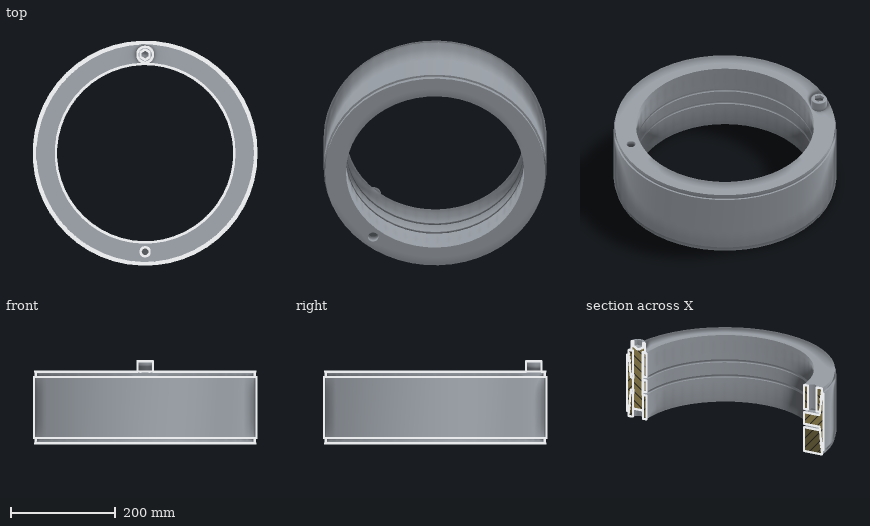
import cadquery as cq
import math

bore_diameter = 340.0
sleeve_diameter = 425.0
thrust_ring_diameter = 420.0
thrust_ring_height = 50.0
exposed_height = 10.0
ring_gap = 6.0
web_height = 25.0
taper_angle = 7.0

web_bottom = thrust_ring_height + ring_gap
web_top = web_bottom + web_height
front_ring_bottom = web_top + ring_gap
stack_height = front_ring_bottom + thrust_ring_height

bolt_circle_radius = 188.0
thread_diameter = 20.0
clearance_diameter = 22.0
extraction_hole_diameter = 17.29
shank_length = 120.0
head_diameter = 30.0
head_height = 20.0
head_edge_fillet = 2.0
socket_flats = 17.0
socket_depth = 10.0
socket_point_angle = 120.0

screw_y = bolt_circle_radius
extraction_hole_y = -bolt_circle_radius


def cone_radius(depth):
    """Radius of the tapered mating surface at a depth below a thrust ring's outer face."""
    return thrust_ring_diameter / 2 - depth * math.tan(math.radians(taper_angle))


seat_mouth_radius = cone_radius(exposed_height)
seat_root_radius = cone_radius(thrust_ring_height + ring_gap)


def cylinder(diameter, height, bottom, y=0.0):
    """Upright cylinder standing at the given height and Y position."""
    return cq.Workplane("XY", origin=(0, y, bottom)).circle(diameter / 2).extrude(height)


def revolve_profile(points):
    """Solid of revolution about the Z axis from (radius, height) corner points."""
    return cq.Workplane("XZ").polyline(points).close().revolve(360, (0, 0, 0), (0, 1, 0))


def make_outer_ring():
    """Sleeve with a conical seat at each end and a central web reaching in to the bore."""
    profile = [
        (sleeve_diameter / 2, exposed_height),
        (sleeve_diameter / 2, stack_height - exposed_height),
        (seat_mouth_radius, stack_height - exposed_height),
        (seat_root_radius, web_top),
        (bore_diameter / 2, web_top),
        (bore_diameter / 2, web_bottom),
        (seat_root_radius, web_bottom),
        (seat_mouth_radius, exposed_height),
    ]
    screw_hole = cylinder(clearance_diameter, web_height, web_bottom, screw_y)
    return revolve_profile(profile).cut(screw_hole)


def make_thrust_ring(outer_face, inner_face, screw_hole_diameter):
    """Ring tapering from its outer face to its inner face, drilled through for the screw."""
    profile = [
        (bore_diameter / 2, outer_face),
        (thrust_ring_diameter / 2, outer_face),
        (cone_radius(thrust_ring_height), inner_face),
        (bore_diameter / 2, inner_face),
    ]
    bottom = min(outer_face, inner_face)
    screw_hole = cylinder(screw_hole_diameter, thrust_ring_height, bottom, screw_y)
    return revolve_profile(profile).cut(screw_hole)


def make_front_ring():
    """Upper thrust ring, with a through extraction hole opposite the screw."""
    body = make_thrust_ring(stack_height, front_ring_bottom, clearance_diameter)
    extraction_hole = cylinder(
        extraction_hole_diameter, thrust_ring_height, front_ring_bottom, extraction_hole_y
    )
    return body.cut(extraction_hole)


def make_rear_ring():
    """Lower thrust ring, which the screw threads into."""
    return make_thrust_ring(0.0, thrust_ring_height, thread_diameter)


def make_socket():
    """Hexagon with two flats facing +X and -X, ending in a conical drill point."""
    socket_corners = socket_flats / math.cos(math.pi / 6)
    point_height = socket_corners / 2 / math.tan(math.radians(socket_point_angle / 2))
    straight_bottom = stack_height + head_height - socket_depth
    prism = (
        cq.Workplane("XY", origin=(0, screw_y, straight_bottom - point_height))
        .transformed(rotate=(0, 0, 90))
        .polygon(6, socket_corners)
        .extrude(socket_depth + point_height)
    )
    drill = (
        cq.Workplane("XZ", origin=(0, screw_y, straight_bottom))
        .moveTo(0, -point_height)
        .lineTo(socket_corners / 2, 0)
        .lineTo(socket_corners / 2, socket_depth)
        .lineTo(0, socket_depth)
        .close()
        .revolve(360, (0, 0, 0), (0, 1, 0))
    )
    return prism.intersect(drill)


def make_screw():
    """Socket head cap screw with its head resting on the front ring."""
    head = cylinder(head_diameter, head_height, stack_height, screw_y)
    head = head.faces(">Z").edges().fillet(head_edge_fillet)
    shank = cylinder(thread_diameter, shank_length, stack_height - shank_length, screw_y)
    return head.union(shank).cut(make_socket())


outer_ring = make_outer_ring()
front_ring = make_front_ring()
rear_ring = make_rear_ring()
screw = make_screw()

result = cq.Compound.makeCompound(
    [outer_ring.val(), front_ring.val(), rear_ring.val(), screw.val()]
)